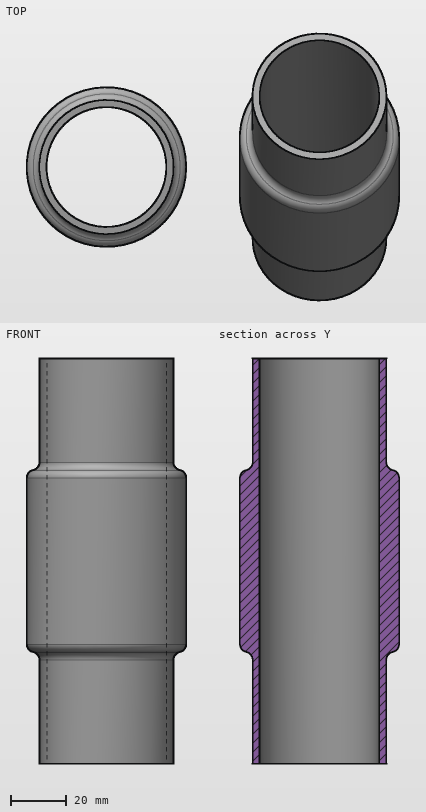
import cadquery as cq
import math

total_length = 146.0
body_diameter = 57.5
pipe_diameter = 48.3
bore_diameter = 43.0
body_straight_length = 59.9
shoulder_length = 5.7

body_radius = body_diameter / 2
pipe_radius = pipe_diameter / 2
bore_radius = bore_diameter / 2
half_length = total_length / 2
body_end = body_straight_length / 2
pipe_start = body_end + shoulder_length

middle_radius = (body_radius + pipe_radius) / 2
middle_height = (body_end + pipe_start) / 2
arc_rise = shoulder_length / 2
arc_step = (body_radius - pipe_radius) / 2
arc_angle = 2 * math.atan2(arc_step, arc_rise)
arc_radius = arc_rise / math.sin(arc_angle)


def make_coupling():
    """Revolve the wall section about Z: pipe end, shoulder, body, shoulder, pipe end."""
    section = (
        cq.Workplane("XZ")
        .moveTo(bore_radius, -half_length)
        .lineTo(pipe_radius, -half_length)
        .lineTo(pipe_radius, -pipe_start)
        .radiusArc((middle_radius, -middle_height), arc_radius)
        .radiusArc((body_radius, -body_end), -arc_radius)
        .lineTo(body_radius, body_end)
        .radiusArc((middle_radius, middle_height), -arc_radius)
        .radiusArc((pipe_radius, pipe_start), arc_radius)
        .lineTo(pipe_radius, half_length)
        .lineTo(bore_radius, half_length)
        .close()
    )
    return section.revolve(360, (0, 0, 0), (0, 1, 0))


result = make_coupling()